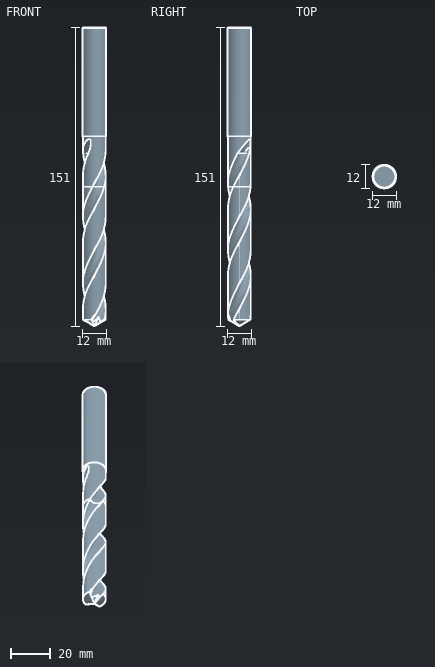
import cadquery as cq
import math


total_length = 151.0
shank_diameter = 12.0
drill_diameter = 11.6
head_length = 70.3
neck_top = 96.0
shank_chamfer = 0.5
point_angle = 120.0

flute_count = 2
flute_pitch = 67.3
flute_radius = 3.3
flute_offset = 5.55
flute_end_angle = 205.0
helix_top = 87.2
runout_height = 7.2
runout_sections = 5
helix_bottom = -1.0

gash_direction = -32.5
gash_tilt = 28.5
gash_size = 6.0

drill_radius = drill_diameter / 2
point_height = drill_radius / math.tan(math.radians(point_angle / 2))
degrees_per_mm = 360 / flute_pitch
flute_spacing = 360 / flute_count
axis_start = (0, 0, 0)
axis_end = (0, 0, 1)


def flute_section(height, offset):
    """Horizontal flute circle at a height, turned to follow the helix."""
    angle = math.radians(flute_end_angle + (height - helix_top) * degrees_per_mm)
    center = cq.Vector(offset * math.cos(angle), offset * math.sin(angle), height)
    return cq.Wire.makeCircle(flute_radius, center, cq.Vector(*axis_end))


def helical_flute():
    """Flute circle carried up the helix, from below the point to the start of the runout."""
    helix_height = helix_top - helix_bottom
    twist = helix_height * degrees_per_mm
    bottom_angle = math.radians(flute_end_angle - twist)
    return (
        cq.Workplane("XY")
        .workplane(offset=helix_bottom)
        .moveTo(flute_offset * math.cos(bottom_angle), flute_offset * math.sin(bottom_angle))
        .circle(flute_radius)
        .twistExtrude(helix_height, twist)
    )


def flute_runout():
    """End of the flute, where the circle keeps turning while it moves outward until it is clear of the neck."""
    outward_travel = drill_radius + flute_radius - flute_offset
    sections = []
    for index in range(runout_sections):
        fraction = index / (runout_sections - 1)
        height = helix_top + fraction * runout_height
        sections.append(flute_section(height, flute_offset + fraction * outward_travel))
    return cq.Workplane(cq.Solid.makeLoft(sections))


def cut_flutes(body, cutter):
    """Cut every copy of a flute cutter, evenly spaced around the axis."""
    for index in range(flute_count):
        body = body.cut(cutter.rotate(axis_start, axis_end, index * flute_spacing))
    return body


def gash_cutter():
    """Square bar whose corner edge is the valley line of the point thinning."""
    direction = math.radians(gash_direction)
    tilt = math.radians(gash_tilt)
    along_valley = cq.Vector(
        math.sin(tilt) * math.cos(direction), math.sin(tilt) * math.sin(direction), math.cos(tilt)
    )
    across_valley = cq.Vector(math.sin(direction), -math.cos(direction), 0)
    valley_plane = cq.Plane(origin=axis_start, xDir=across_valley, normal=along_valley)
    bar = cq.Workplane(valley_plane).rect(gash_size, gash_size, centered=False)
    return bar.extrude(gash_size, both=True)


def make_cutting_head():
    """Fluted cylinder with a conical, thinned point."""
    blank = (
        cq.Workplane("XZ")
        .polyline([(0, 0), (drill_radius, point_height), (drill_radius, head_length), (0, head_length)])
        .close()
        .revolve(360, (0, 0), (0, 1))
    )
    head = cut_flutes(blank, helical_flute())
    return cut_flutes(head, gash_cutter())


def make_shank():
    """Plain chamfered shank on a neck that holds the upper end of the flutes."""
    neck = (
        cq.Workplane("XY")
        .workplane(offset=head_length)
        .circle(drill_radius)
        .extrude(neck_top - head_length)
    )
    neck = cut_flutes(neck, helical_flute())
    neck = cut_flutes(neck, flute_runout())
    grip = (
        cq.Workplane("XY")
        .workplane(offset=neck_top)
        .circle(shank_diameter / 2)
        .extrude(total_length - neck_top)
        .faces(">Z")
        .chamfer(shank_chamfer)
    )
    return neck.union(grip)


cutting_head = make_cutting_head()
shank = make_shank()

result = cq.Compound.makeCompound([cutting_head.solids().val(), shank.solids().val()])